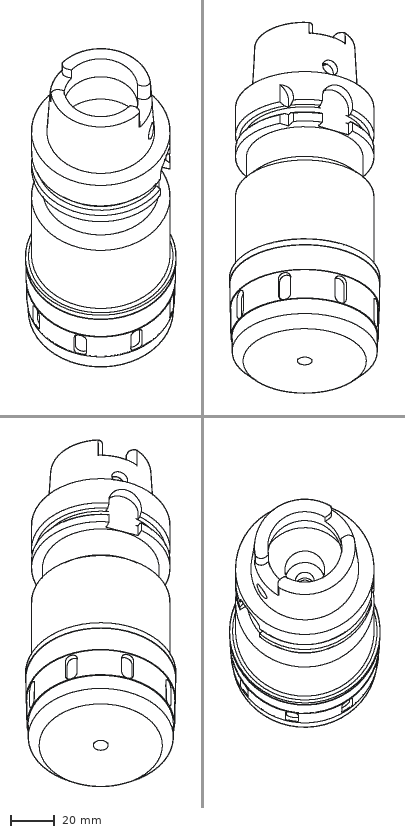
import cadquery as cq
import math

total_length = 167.0

nut_face_radius = 28.0
nut_lip_radius = 33.0
nut_chamfer_top = 5.0
nut_lip_top = 13.0
nut_slot_band_bottom_radius = 33.5
nut_slot_band_cone_top = 15.0
nut_slot_band_radius = 33.7
nut_slot_band_top = 28.0
nut_body_radius = 34.0
nut_body_top = 41.0
nut_rim_diameter = 68.6
nut_rim_radius = nut_rim_diameter / 2
nut_rim_top = 44.3
nut_shoulder_radius = 32.9
nut_top = 45.8

wrench_slot_count = 8
wrench_slot_width = 5.8
wrench_slot_bottom = 13.0
wrench_slot_top = 27.2
wrench_slot_floor = 31.4

body_radius = 31.5
neck_radius = 26.5
shoulder_bottom = 88.0
shoulder_top = shoulder_bottom + body_radius - neck_radius

flange_radius = body_radius
flange_bottom = 108.9
groove_radius = 27.5
groove_mouth_radius = 29.7
groove_flank_height = 1.5
groove_bottom = 114.9
groove_top = 118.9
shank_length = 31.7
flange_top = total_length - shank_length

flange_slot_width = 15.7
flange_slot_top = 130.3
drive_slot_floor = 26.7
index_slot_floor = 20.2
index_slot_center = 27.5

shank_base_radius = 24.5
shank_tip_radius = 22.9
cross_hole_radius = 3.8
cross_hole_height = 144.0

keyway_width = 12.5
keyway_corner_radius = 3.2
keyway_land_end = 20.9
shallow_keyway_depth = 5.8
deep_keyway_depth = 9.9

mouth_radius = 16.9
mouth_depth = 13.0
chamber_radius = 20.2
chamber_floor = 133.6
coolant_bore_radius = 9.0
coolant_bore_floor = 116.9
pilot_radius = 4.3
pilot_floor = 108.5
through_radius = 3.3


def turned_solid():
    """Outer shape, from the nut face up to the shank tip."""
    outline = [
        (0, 0),
        (nut_face_radius, 0),
        (nut_lip_radius, nut_chamfer_top),
        (nut_lip_radius, nut_lip_top),
        (nut_slot_band_bottom_radius, nut_lip_top),
        (nut_slot_band_radius, nut_slot_band_cone_top),
        (nut_slot_band_radius, nut_slot_band_top),
        (nut_body_radius, nut_slot_band_top),
        (nut_body_radius, nut_body_top),
        (nut_rim_radius, nut_body_top),
        (nut_rim_radius, nut_rim_top),
        (nut_shoulder_radius, nut_rim_top),
        (body_radius, nut_top),
        (body_radius, shoulder_bottom),
        (neck_radius, shoulder_top),
        (neck_radius, flange_bottom),
        (flange_radius, flange_bottom),
        (flange_radius, groove_bottom - groove_flank_height),
        (groove_mouth_radius, groove_bottom),
        (groove_radius, groove_bottom),
        (groove_radius, groove_top),
        (groove_mouth_radius, groove_top),
        (flange_radius, groove_top + groove_flank_height),
        (flange_radius, flange_top),
        (shank_base_radius, flange_top),
        (shank_tip_radius, total_length),
        (0, total_length),
    ]
    return cq.Workplane("XZ").polyline(outline).close().revolve(360, (0, 0, 0), (0, 1, 0))


def axial_bore(radius, bottom, top):
    return cq.Workplane("XY").workplane(offset=bottom).circle(radius).extrude(top - bottom)


def flange_slot(center_y, floor):
    """Cutter for a flange slot open at -X and downwards, with a flat floor at X = -floor."""
    radius = flange_slot_width / 2
    height = flange_slot_top - radius
    return (
        cq.Workplane("YZ", origin=(-floor, 0, 0))
        .moveTo(center_y - radius, flange_bottom)
        .lineTo(center_y - radius, height)
        .threePointArc((center_y, flange_slot_top), (center_y + radius, height))
        .lineTo(center_y + radius, flange_bottom)
        .close()
        .extrude(floor - nut_rim_radius)
    )


def keyway(depth):
    """Cutter for a keyway on the +X side whose mouth flares over rounded land corners."""
    half = keyway_width / 2
    flare = half + keyway_corner_radius
    corner_start = keyway_land_end - keyway_corner_radius
    bulge = keyway_corner_radius * math.sqrt(0.5)
    outer = shank_base_radius
    return (
        cq.Workplane("XY", origin=(0, 0, total_length - depth))
        .moveTo(0, -half)
        .lineTo(corner_start, -half)
        .threePointArc((corner_start + bulge, bulge - flare), (keyway_land_end, -flare))
        .lineTo(outer, -flare)
        .lineTo(outer, flare)
        .lineTo(keyway_land_end, flare)
        .threePointArc((corner_start + bulge, flare - bulge), (corner_start, half))
        .lineTo(0, half)
        .close()
        .extrude(depth)
    )


def wrench_slot(angle):
    """Cutter for one upright round-ended slot in the nut."""
    length = wrench_slot_top - wrench_slot_bottom
    middle = (wrench_slot_top + wrench_slot_bottom) / 2
    cutter = (
        cq.Workplane("YZ", origin=(wrench_slot_floor, 0, middle))
        .slot2D(length, wrench_slot_width, 90)
        .extrude(nut_rim_radius - wrench_slot_floor)
    )
    return cutter.rotate((0, 0, 0), (0, 0, 1), angle)


def half_turn(shape):
    return shape.rotate((0, 0, 0), (0, 0, 1), 180)


result = turned_solid()

result = result.cut(axial_bore(mouth_radius, total_length - mouth_depth, total_length))
result = result.cut(axial_bore(chamber_radius, chamber_floor, total_length - mouth_depth))
result = result.cut(axial_bore(coolant_bore_radius, coolant_bore_floor, chamber_floor))
result = result.cut(axial_bore(pilot_radius, pilot_floor, coolant_bore_floor))
result = result.cut(axial_bore(through_radius, 0, pilot_floor))

drive_slot = flange_slot(0, drive_slot_floor)
result = result.cut(drive_slot)
result = result.cut(half_turn(drive_slot))
result = result.cut(flange_slot(index_slot_center, index_slot_floor))

result = result.cut(keyway(deep_keyway_depth))
result = result.cut(half_turn(keyway(shallow_keyway_depth)))

cross_hole = (
    cq.Workplane("YZ", origin=(0, 0, cross_hole_height))
    .circle(cross_hole_radius)
    .extrude(shank_base_radius, both=True)
)
result = result.cut(cross_hole)

for index in range(wrench_slot_count):
    result = result.cut(wrench_slot(index * 360 / wrench_slot_count))